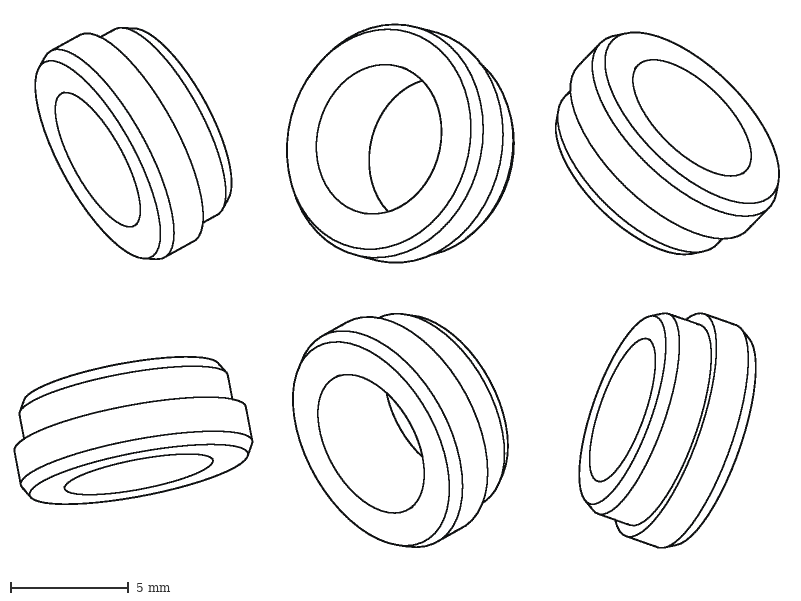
import cadquery as cq
import math

flange_diameter = 10.0
spigot_diameter = 9.0
bore_diameter = 6.4
total_length = 4.0
flange_length = 2.0
chamfer_length = 0.5
chamfer_angle = 30.0

flange_radius = flange_diameter / 2
spigot_radius = spigot_diameter / 2
bore_radius = bore_diameter / 2
chamfer_depth = chamfer_length * math.tan(math.radians(chamfer_angle))
front_y = -total_length / 2
back_y = total_length / 2
step_y = front_y + flange_length

half_section = [
    (bore_radius, front_y),
    (flange_radius - chamfer_depth, front_y),
    (flange_radius, front_y + chamfer_length),
    (flange_radius, step_y),
    (spigot_radius, step_y),
    (spigot_radius, back_y - chamfer_length),
    (spigot_radius - chamfer_depth, back_y),
    (bore_radius, back_y),
]

result = (
    cq.Workplane("XY")
    .polyline(half_section)
    .close()
    .revolve(360, (0, 0, 0), (0, 1, 0))
)